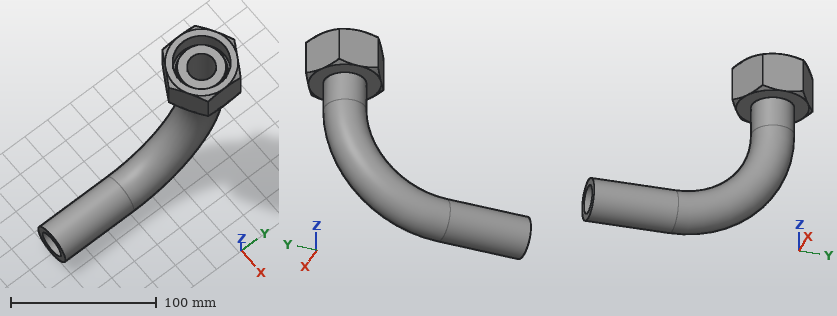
import cadquery as cq
import math

overall_length = 160.9
overall_height = 137.5

tube_diameter = 30.0
tube_bore = 20.0
bend_radius = 71.9

nut_width = 50.0
nut_height = 29.0
nut_bore = 39.9
chamfer_angle = 30.0

nose_depth = 7.7
nose_face_diameter = 33.5
nose_base_diameter = 36.7
nose_half_angle = 12.0

groove_floor_diameter = 32.2
groove_width = 2.4

nut_corner_radius = nut_width / math.sqrt(3)
nut_top = overall_height - tube_diameter / 2
nut_bottom = nut_top - nut_height
nose_top = nut_top - nose_depth
nose_taper = math.tan(math.radians(nose_half_angle))
nose_height = (nose_base_diameter - nose_face_diameter) / 2 / nose_taper
shoulder_z = nose_top - nose_height
outlet_y = nut_corner_radius - overall_length


def tube_path():
    """Centre line from the sealing nose, round the bend, to the outlet."""
    bend_mid_offset = bend_radius * math.sqrt(0.5)
    bend_mid = (bend_mid_offset - bend_radius, bend_radius - bend_mid_offset)
    return (
        cq.Workplane("YZ")
        .moveTo(0, nose_top)
        .lineTo(0, bend_radius)
        .threePointArc(bend_mid, (-bend_radius, 0))
        .lineTo(outlet_y, 0)
    )


def swept_rod(diameter):
    """Round rod along the tube centre line."""
    profile = cq.Workplane("XY", origin=(0, 0, nose_top)).circle(diameter / 2)
    return profile.sweep(tube_path())


def hex_nut():
    """Hexagon with its corners chamfered at both ends."""
    hexagon = (
        cq.Workplane("XY", origin=(0, 0, nut_bottom))
        .polygon(6, 2 * nut_corner_radius)
        .extrude(nut_height)
        .rotate((0, 0, 0), (0, 0, 1), 30)
    )
    face_radius = nut_width / 2
    chamfer_height = (nut_corner_radius - face_radius) * math.tan(math.radians(chamfer_angle))
    chamfer_envelope = (
        cq.Workplane("XZ")
        .polyline([
            (0, nut_bottom),
            (face_radius, nut_bottom),
            (nut_corner_radius, nut_bottom + chamfer_height),
            (nut_corner_radius, nut_top - chamfer_height),
            (face_radius, nut_top),
            (0, nut_top),
        ])
        .close()
        .revolve(360, (0, 0), (0, 1))
    )
    return hexagon.intersect(chamfer_envelope)


def nut_recess():
    """Open bore of the nut, down to the shoulder around the nose."""
    return (
        cq.Workplane("XY", origin=(0, 0, shoulder_z))
        .circle(nut_bore / 2)
        .extrude(nut_top - shoulder_z)
    )


def sealing_nose():
    """Cone that narrows from the shoulder to the flat sealing face."""
    return (
        cq.Workplane("XY", origin=(0, 0, shoulder_z))
        .circle(nose_base_diameter / 2)
        .extrude(nose_height, taper=nose_half_angle)
    )


def seal_groove():
    """Ring cut into the middle of the tapered nose."""
    return (
        cq.Workplane("XY", origin=(0, 0, shoulder_z + (nose_height - groove_width) / 2))
        .circle(nose_base_diameter / 2)
        .circle(groove_floor_diameter / 2)
        .extrude(groove_width)
    )


result = (
    hex_nut()
    .cut(nut_recess())
    .union(sealing_nose().cut(seal_groove()))
    .union(swept_rod(tube_diameter))
    .cut(swept_rod(tube_bore))
)